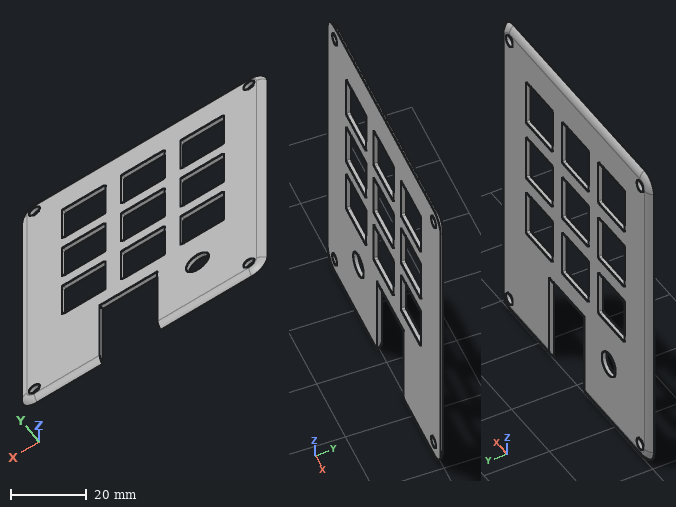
import cadquery as cq
import math

plate_width = 79.0
plate_height = 99.0
plate_thickness = 1.5
corner_radius = 5.0

edge_radius = 3.0
body_overhang = edge_radius - math.sqrt(edge_radius**2 - (edge_radius - plate_thickness) ** 2)
body_thickness = 2 * edge_radius

mount_hole_diameter = 3.4
mount_hole_x = plate_width / 2 - corner_radius
mount_hole_z = plate_height / 2 - corner_radius

window_size = 14.0
window_pitch = 19.05
window_corner_radius = 0.5
window_rows = 3
window_columns = 3
grid_center_x = -0.4
grid_center_z = 10.77

round_opening_diameter = 7.2
round_opening_x = -17.95
round_opening_z = -29.0

notch_width = 18.5
notch_depth = 27.5
notch_center_x = 4.2


def sketch_on_back(center_x, center_z):
    """Workplane on the back face, centred at the given place; extrusions run toward -Y."""
    return cq.Workplane("XZ", origin=(center_x, plate_thickness, center_z))


def make_plate():
    """Plate with rounded corners and a rounded back edge, flat at the front (Y = 0)."""
    body_width = plate_width + 2 * body_overhang
    body_height = plate_height + 2 * body_overhang
    body = sketch_on_back(0, 0).rect(body_width, body_height).extrude(body_thickness)
    body = body.edges("|Y").fillet(corner_radius + body_overhang)
    body = body.faces(">Y").edges().fillet(edge_radius)
    back_slice = sketch_on_back(0, 0).rect(body_width, body_height).extrude(plate_thickness)
    return body.intersect(back_slice)


def make_round_cutter(x, z, diameter):
    return sketch_on_back(x, z).circle(diameter / 2).extrude(plate_thickness)


def make_window_cutter(x, z):
    window = sketch_on_back(x, z).rect(window_size, window_size).extrude(plate_thickness)
    return window.edges("|Y").fillet(window_corner_radius)


def make_notch_cutter():
    center_z = (notch_depth - plate_height) / 2
    return sketch_on_back(notch_center_x, center_z).rect(notch_width, notch_depth).extrude(plate_thickness)


def cut_mount_holes(plate):
    for side_x in (-1, 1):
        for side_z in (-1, 1):
            hole = make_round_cutter(side_x * mount_hole_x, side_z * mount_hole_z, mount_hole_diameter)
            plate = plate.cut(hole)
    return plate


def cut_windows(plate):
    for column in range(window_columns):
        x = grid_center_x + (column - (window_columns - 1) / 2) * window_pitch
        for row in range(window_rows):
            z = grid_center_z + (row - (window_rows - 1) / 2) * window_pitch
            plate = plate.cut(make_window_cutter(x, z))
    return plate


result = make_plate()
result = cut_mount_holes(result)
result = cut_windows(result)
result = result.cut(make_round_cutter(round_opening_x, round_opening_z, round_opening_diameter))
result = result.cut(make_notch_cutter())